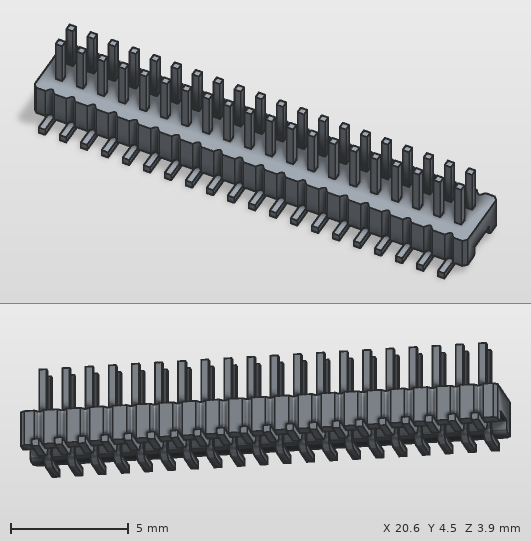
import cadquery as cq


body_length = 20.6
body_width = 3.0
body_height = 1.5
corner_chamfer = 0.16
channel_height = 0.5

pins_per_row = 20
end_pin_inset = 0.8
row_spacing = 1.0
pin_size = 0.3
total_height = 3.9
lead_span = 4.5
bend_inner_radius = 0.2

groove_width = 0.41
groove_sharp_depth = 0.27
groove_bottom_radius = 0.1

pitch = (body_length - 2 * end_pin_inset) / (pins_per_row - 1)
pin_x_positions = [(i - (pins_per_row - 1) / 2) * pitch for i in range(pins_per_row)]
body_bottom = pin_size
channel_top = body_bottom + channel_height
pin_inner_y = (row_spacing - pin_size) / 2
pin_outer_y = (row_spacing + pin_size) / 2
bend_outer_radius = bend_inner_radius + pin_size
bend_center_y = pin_outer_y + bend_inner_radius
bend_center_z = body_bottom + bend_inner_radius


def make_front_groove():
    """Cutter for the groove at X = 0 in the -Y side wall."""
    wall_y = -body_width / 2
    return (
        cq.Workplane("XY", origin=(0, wall_y, body_bottom))
        .moveTo(-groove_width / 2, 0)
        .lineTo(groove_width / 2, 0)
        .lineTo(0, groove_sharp_depth)
        .close()
        .extrude(body_height)
        .edges("|Z and >Y")
        .fillet(groove_bottom_radius)
    )


def make_body():
    """Chamfered block with a channel underneath whose lower edges follow the lead bends."""
    block = (
        cq.Workplane("XY", origin=(0, 0, body_bottom))
        .box(body_length, body_width, body_height, centered=(True, True, False))
        .edges("|Z")
        .chamfer(corner_chamfer)
    )
    channel = (
        cq.Workplane("YZ")
        .moveTo(-pin_outer_y, channel_top)
        .lineTo(pin_outer_y, channel_top)
        .lineTo(pin_outer_y, bend_center_z)
        .radiusArc((bend_center_y, body_bottom), -bend_inner_radius)
        .lineTo(-bend_center_y, body_bottom)
        .radiusArc((-pin_outer_y, bend_center_z), -bend_inner_radius)
        .close()
        .extrude(body_length / 2, both=True)
    )
    body = block.cut(channel)
    front_groove = make_front_groove()
    for groove in (front_groove, front_groove.mirror("XZ")):
        for x in pin_x_positions:
            body = body.cut(groove.translate((x, 0, 0)))
    return body


def make_pin():
    """Upright pin of the +Y row at X = 0, bent outward into a flat solder lead."""
    return (
        cq.Workplane("YZ")
        .moveTo(pin_inner_y, total_height)
        .lineTo(pin_outer_y, total_height)
        .lineTo(pin_outer_y, bend_center_z)
        .radiusArc((bend_center_y, body_bottom), -bend_inner_radius)
        .lineTo(lead_span / 2, body_bottom)
        .lineTo(lead_span / 2, 0)
        .lineTo(bend_center_y, 0)
        .radiusArc((pin_inner_y, bend_center_z), bend_outer_radius)
        .close()
        .extrude(pin_size / 2, both=True)
    )


pin = make_pin()
pin_pair = [pin.val(), pin.mirror("XZ").val()]
pins = [shape.translate(cq.Vector(x, 0, 0)) for x in pin_x_positions for shape in pin_pair]

result = cq.Workplane(make_body().val().fuse(*pins))